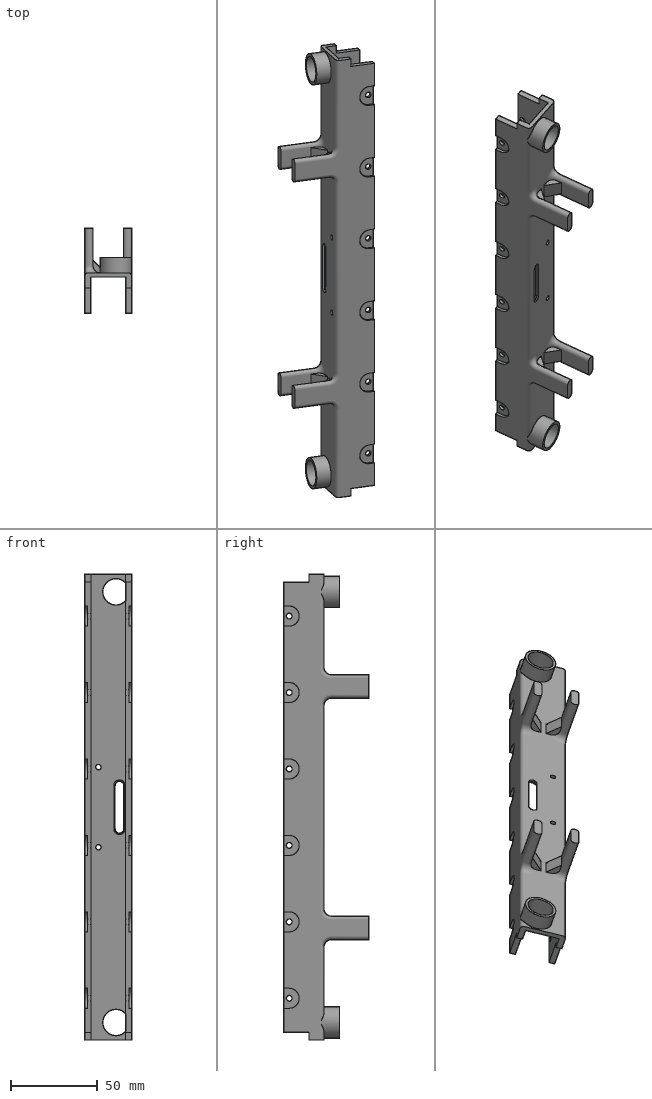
import cadquery as cq

length = 268.5
width = 27.0
channel_depth = 23.4
wall = 3.5
web = 2.55
edge_round = 2.1

notch_depth = 14.5
notch_height = 4.5

total_depth = 49.0
arm_height = 13.7
arm_thickness = 4.8
arm_offset = 69.5
arm_root_round = 4.0
gusset = 7.2
gusset_width = arm_height - 2 * edge_round
gusset_overlap = 1.3

boss_dia = 18.3
bore_dia = 15.0
boss_reach = 8.9
boss_x = width / 2 - boss_dia / 2
boss_end_gap = 10.2
boss_z = length / 2 - boss_end_gap

screw_hole_dia = 3.2
recess_dia = 11.5
recess_depth = 1.5
screw_inset = 3.2
screw_count = 6
screw_pitch = 44.0

slot_length = 31.5
slot_width = 6.5
slot_step = 0.8
slot_step_depth = web / 2
slot_x = 6.5
pin_hole_dia = 3.0
pin_hole_x = -5.6
pin_hole_z = 23.0

web_front = channel_depth - web
half_width = width / 2
half_length = length / 2
arm_inner_x = half_width - arm_thickness
sides = (-1, 1)
tolerance = 0.003


def box(x_range, y_range, z_range):
    """Axis-aligned box spanning three (low, high) ranges."""
    sizes = [high - low for low, high in (x_range, y_range, z_range)]
    corner = (x_range[0], y_range[0], z_range[0])
    return cq.Workplane("XY").box(*sizes, centered=False).translate(corner)


def cylinder_y(dia, x, z, y_range):
    """Cylinder along Y between two depths."""
    start = cq.Workplane("XZ", origin=(x, y_range[0], z))
    return start.circle(dia / 2).extrude(y_range[0] - y_range[1])


def channel():
    body = box((-half_width, half_width), (0, channel_depth), (-half_length, half_length))
    inside = half_width - wall
    body = body.cut(box((-inside, inside), (0, web_front), (-half_length, half_length)))
    for end in sides:
        ends = sorted((end * half_length, end * (half_length - notch_height)))
        body = body.cut(box((-half_width, half_width), (0, notch_depth), ends))
    return body


def arm(side, z):
    """Flat arm flush with a wall, rounded along its inner edges."""
    x_range = sorted((side * half_width, side * arm_inner_x))
    plate = box(x_range, (web_front, total_depth), (z - arm_height / 2, z + arm_height / 2))
    return plate.edges("|Y").edges("<X" if side > 0 else ">X").fillet(edge_round)


def arm_gusset(side, z):
    """A 45 degree rib between the inner face of an arm and the back of the web."""
    face_x = side * arm_inner_x
    base_x = side * (arm_inner_x + gusset_overlap)
    return (
        cq.Workplane("XY", origin=(0, 0, z - gusset_width / 2))
        .moveTo(base_x, web_front)
        .lineTo(base_x, channel_depth + gusset)
        .lineTo(face_x, channel_depth + gusset)
        .lineTo(face_x - side * gusset, channel_depth)
        .lineTo(face_x - side * gusset, web_front)
        .close()
        .extrude(gusset_width)
    )


def fillet_where(body, radius, is_wanted):
    """Fillet every edge whose bounding box and centre pass the test."""
    edges = [e for e in body.edges().vals() if is_wanted(e.BoundingBox(), e.Center())]
    return body.newObject(edges).fillet(radius)


def is_arm_root(box_size, centre):
    """Edge where an arm meets the back of the web."""
    on_back = box_size.ylen < tolerance and abs(centre.y - channel_depth) < tolerance
    near_arm = abs(abs(centre.z) - arm_offset) < arm_height / 2 + tolerance
    beside_rim = abs(centre.x) < half_width - tolerance
    return on_back and near_arm and beside_rim


def is_outer_rim(box_size, centre):
    """Edge of an outer side face along the back of the web or along an arm."""
    on_side = box_size.xlen < tolerance and abs(abs(centre.x) - half_width) < tolerance
    behind_web = centre.y > channel_depth - tolerance
    return on_side and behind_web and centre.y < total_depth - tolerance


def recess(side, z):
    """Shallow pocket on an outer wall face, round at the back and open at the front."""
    radius = recess_dia / 2
    floor_x = half_width - recess_depth
    round_end = cq.Workplane("YZ", origin=(side * floor_x, screw_inset, z)).circle(radius)
    x_range = sorted((side * floor_x, side * half_width))
    mouth = box(x_range, (0, screw_inset), (z - radius, z + radius))
    return round_end.extrude(side * recess_depth).union(mouth)


def screw_hole(z):
    """Hole across both walls."""
    start = cq.Workplane("YZ", origin=(-half_width, screw_inset, z))
    return start.circle(screw_hole_dia / 2).extrude(width)


def slot(inset, y_range):
    """Upright slot cutter, narrowed all around by the inset."""
    start = cq.Workplane("XZ", origin=(slot_x, y_range[0], 0))
    outline = start.slot2D(slot_length - 2 * inset, slot_width - 2 * inset, 90)
    return outline.extrude(y_range[0] - y_range[1])


def pin_hole(z):
    """Small round hole through the web."""
    return cylinder_y(pin_hole_dia, pin_hole_x, z, (web_front, channel_depth))


body = channel()
for side in sides:
    for level in sides:
        body = body.union(arm(side, level * arm_offset))
body = fillet_where(body, arm_root_round, is_arm_root)
body = fillet_where(body, edge_round, is_outer_rim)
for side in sides:
    for level in sides:
        body = body.union(arm_gusset(side, level * arm_offset))

boss_back = channel_depth + boss_reach
for end in sides:
    body = body.union(cylinder_y(boss_dia, boss_x, end * boss_z, (web_front, boss_back)))
    body = body.cut(cylinder_y(bore_dia, boss_x, end * boss_z, (web_front, boss_back)))

for index in range(screw_count):
    z = (index - (screw_count - 1) / 2) * screw_pitch
    body = body.cut(screw_hole(z))
    for side in sides:
        body = body.cut(recess(side, z))

body = body.cut(slot(0, (web_front, web_front + slot_step_depth)))
body = body.cut(slot(slot_step, (web_front, channel_depth)))
for level in sides:
    body = body.cut(pin_hole(level * pin_hole_z))

result = body